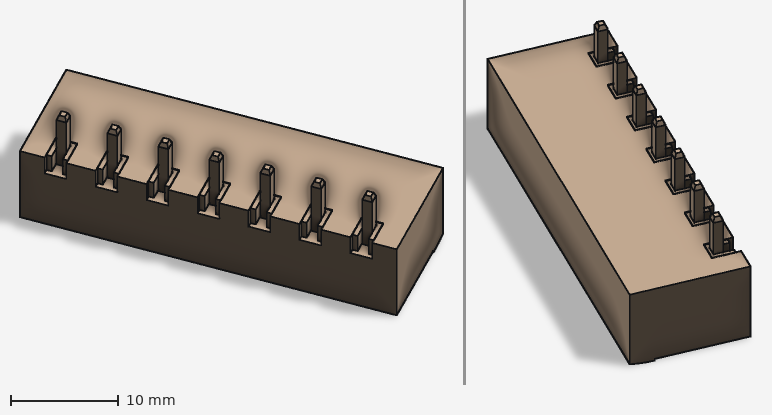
import cadquery as cq
import math

body_length = 37.56
body_depth = 12.0
body_height = 8.35
ridge_drop = 0.2
ridge_width = 2.5
rear_corner_rise = 0.05

pin_count = 7
pin_pitch = 5.08
pin_side = 1.0
pin_setback = 2.05
pin_projection = 4.1
tip_height = 0.5
tip_side = 0.6

pocket_width = 2.15
pocket_reach = 2.9
pocket_depth = 2.0
shoulder_recess = 0.1
shoulder_setback = 0.5
groove_width = 1.1
groove_reach = 2.55

front_y = -body_depth / 2
rear_y = body_depth / 2
floor_z = ridge_drop
top_z = floor_z + body_height
pocket_floor_z = top_z - pocket_depth
pin_top_z = top_z + pin_projection


def make_housing():
    """Extrude the side profile, with the shallow ridge below the rear, along X."""
    ridge_front_y = rear_y - ridge_width
    rear_corner_z = floor_z + rear_corner_rise
    arc_radius = (ridge_width**2 + rear_corner_z**2) / (2 * rear_corner_z)
    half_angle = math.asin(ridge_width / arc_radius) / 2
    arc_middle_y = ridge_front_y + arc_radius * math.sin(half_angle)
    arc_middle_z = arc_radius * (1 - math.cos(half_angle))
    return (
        cq.Workplane("YZ")
        .workplane(offset=-body_length / 2)
        .moveTo(front_y, floor_z)
        .lineTo(ridge_front_y, floor_z)
        .lineTo(ridge_front_y, 0)
        .threePointArc((arc_middle_y, arc_middle_z), (rear_y, rear_corner_z))
        .lineTo(rear_y, top_z)
        .lineTo(front_y, top_z)
        .close()
        .extrude(body_length)
    )


def front_cut(x, width, reach, depth):
    """Block that cuts into the top and front of the housing, centred on x."""
    return (
        cq.Workplane("XY")
        .box(width, reach, depth, centered=(True, False, False))
        .translate((x, front_y, top_z - depth))
    )


def make_pocket(x):
    """Shallow recess, full-depth front mouth and the groove holding the pin."""
    recess = front_cut(x, pocket_width, pocket_reach, shoulder_recess)
    mouth = front_cut(x, pocket_width, shoulder_setback, pocket_depth)
    groove = front_cut(x, groove_width, groove_reach, pocket_depth)
    return recess.union(mouth).union(groove)


def make_pin(x):
    """Square pin with a tapered tip, standing on the pocket floor."""
    pin_y = front_y + pin_setback
    shank_top_z = pin_top_z - tip_height
    shank = (
        cq.Workplane("XY", origin=(x, pin_y, pocket_floor_z))
        .rect(pin_side, pin_side)
        .extrude(shank_top_z - pocket_floor_z)
    )
    tip = (
        cq.Workplane("XY", origin=(x, pin_y, shank_top_z))
        .rect(pin_side, pin_side)
        .workplane(offset=tip_height)
        .rect(tip_side, tip_side)
        .loft(ruled=True)
    )
    return shank.union(tip)


result = make_housing()
for index in range(pin_count):
    pin_x = (index - (pin_count - 1) / 2) * pin_pitch
    result = result.cut(make_pocket(pin_x)).union(make_pin(pin_x))